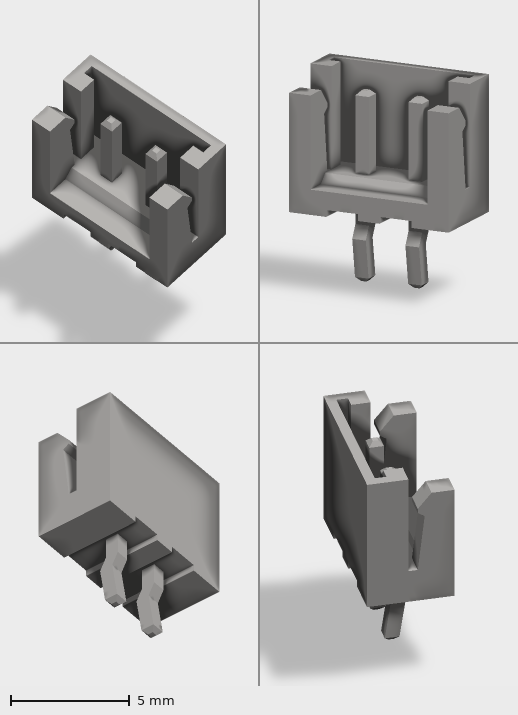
import cadquery as cq


width = 7.5
height = 6.0
back_y = 1.6
front_y = -2.2
wall = 0.45
post_width = 1.0
rib_back_y = 0.65
rib_front_y = -0.2
floor_z = 1.5

sill_z = 1.1
bevel_start_y = -0.8
bevel_end_y = bevel_start_y - (floor_z - sill_z)

post_top_z = 5.2
post_top_y = -1.2
slot_front_y = -0.6
hook_tip_y = -0.6
hook_tip_high_z = 4.5
hook_tip_low_z = 4.3
hook_throat_y = -0.9
hook_throat_z = 4.1

notch_width = 1.5
notch_depth = 0.3

pitch = 2.5
pin_size = 0.64
tip_length = 0.2
tip_size = 0.25
pin_top_z = 5.1
pin_bottom_z = -3.2
bend_front_y = -0.62
bend_start_z = -0.7
bend_end_z = -1.28
tail_end_y = -0.04

pin_positions = (-pitch / 2, pitch / 2)


def box(x0, x1, y0, y1, z0, z1):
    """Box between opposite corner coordinates."""
    return cq.Workplane("XY").box(x1 - x0, y1 - y0, z1 - z0, centered=False).translate((x0, y0, z0))


def side_prism(points, x_length):
    """Extrude a closed (Y, Z) outline along X, centred on X = 0."""
    return cq.Workplane("YZ").polyline(points).close().extrude(x_length / 2, both=True)


def make_side_profile():
    """Housing seen along X: tall back, slot, and hooked latch post at the front."""
    outline = [
        (back_y, 0),
        (back_y, height),
        (rib_front_y, height),
        (rib_front_y, floor_z),
        (slot_front_y, floor_z),
        (hook_throat_y, hook_throat_z),
        (hook_tip_y, hook_tip_low_z),
        (hook_tip_y, hook_tip_high_z),
        (post_top_y, post_top_z),
        (front_y, post_top_z),
        (front_y, 0),
    ]
    return side_prism(outline, width)


def make_cavity():
    """Open interior between the posts, with the floor bevelled down to the front sill."""
    cavity_back_y = back_y - wall
    outline = [
        (cavity_back_y, floor_z),
        (bevel_start_y, floor_z),
        (bevel_end_y, sill_z),
        (front_y, sill_z),
        (front_y, height),
        (cavity_back_y, height),
    ]
    inner = side_prism(outline, width - 2 * post_width)
    side_reach = width / 2 - wall
    behind_ribs = box(-side_reach, side_reach, rib_back_y, cavity_back_y, floor_z, height)
    return inner.union(behind_ribs)


def make_notch(x):
    """Clearance notch across the underside, around one pin."""
    return box(x - notch_width / 2, x + notch_width / 2, front_y, back_y, 0, notch_depth)


def make_tip(shoulder_z, end_z, y):
    """Square taper at a pin end."""
    return (
        cq.Workplane("XY", origin=(0, y, shoulder_z))
        .rect(pin_size, pin_size)
        .workplane(offset=end_z - shoulder_z)
        .rect(tip_size, tip_size)
        .loft(ruled=True)
    )


def make_pin():
    """Square pin with a kinked solder tail and tapered ends."""
    half = pin_size / 2
    top_shoulder_z = pin_top_z - tip_length
    tail_shoulder_z = pin_bottom_z + tip_length
    outline = [
        (half, top_shoulder_z),
        (-half, top_shoulder_z),
        (-half, bend_start_z),
        (bend_front_y, bend_end_z),
        (tail_end_y - half, tail_shoulder_z),
        (tail_end_y + half, tail_shoulder_z),
        (bend_front_y + pin_size, bend_end_z),
        (half, bend_start_z),
    ]
    shaft = side_prism(outline, pin_size)
    top_tip = make_tip(top_shoulder_z, pin_top_z, 0)
    tail_tip = make_tip(tail_shoulder_z, pin_bottom_z, tail_end_y)
    return shaft.union(top_tip).union(tail_tip)


result = make_side_profile().cut(make_cavity())
for pin_x in pin_positions:
    result = result.cut(make_notch(pin_x))
for pin_x in pin_positions:
    result = result.union(make_pin().translate((pin_x, 0, 0)))